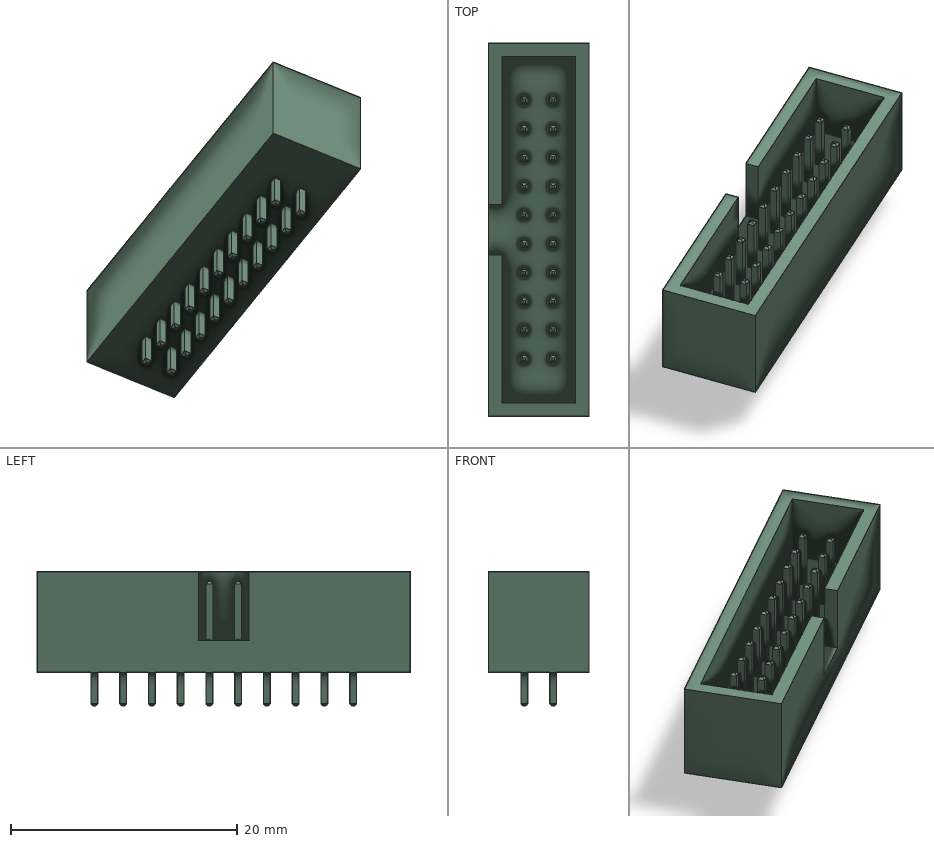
import cadquery as cq


length = 33.02
width = 8.9
housing_height = 8.9
wall = 1.2
cavity_depth = 6.08
floor_level = housing_height - cavity_depth

notch_width = 4.5

pin_rows = 10
pin_columns = 2
pitch = 2.55
pin_side = 0.63
tip_chamfer = 0.2
pin_tail = 2.97
pin_recess = 0.9
pin_length = pin_tail + housing_height - pin_recess


def make_housing():
    """Open-topped box with a key notch cut down to the cavity floor."""
    box = cq.Workplane("XY").box(width, length, housing_height, centered=(True, True, False))
    cavity = (
        cq.Workplane("XY", origin=(0, 0, floor_level))
        .rect(width - 2 * wall, length - 2 * wall)
        .extrude(cavity_depth)
    )
    notch = (
        cq.Workplane("XY", origin=(-width / 4, 0, floor_level))
        .rect(width / 2, notch_width)
        .extrude(cavity_depth)
    )
    return box.cut(cavity.union(notch))


def make_pin(x, y):
    """Square pin with both ends chamfered on all four sides."""
    return (
        cq.Workplane("XY", origin=(x, y, -pin_tail))
        .rect(pin_side, pin_side)
        .extrude(pin_length)
        .faces("<Z or >Z")
        .chamfer(tip_chamfer)
    )


result = make_housing()
for column in range(pin_columns):
    pin_x = (column - (pin_columns - 1) / 2) * pitch
    for row in range(pin_rows):
        pin_y = (row - (pin_rows - 1) / 2) * pitch
        result = result.union(make_pin(pin_x, pin_y))